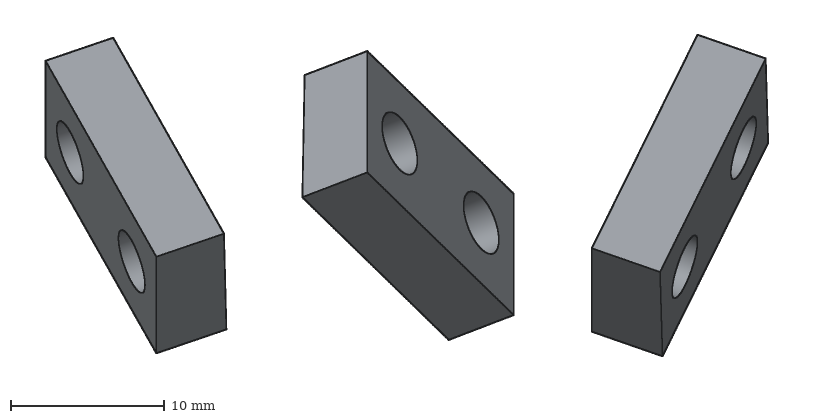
import cadquery as cq
import math

length = 18.0
height = 10.0
base_depth = 5.0
back_draft = 1.0
hole_diameter = 4.32
hole_spacing = 10.0
left_hole_inset = 4.0

top_depth = base_depth - height * math.tan(math.radians(back_draft))


def tapered_block():
    """Side profile with a vertical front and a leaning back, extruded along X."""
    side_profile = [
        (0, 0),
        (base_depth, 0),
        (top_depth, height),
        (0, height),
    ]
    return cq.Workplane("YZ").polyline(side_profile).close().extrude(length)


def through_hole(center_x):
    """Round cutter along Y at mid height, running through the full depth."""
    return (
        cq.Workplane("XZ")
        .center(center_x, height / 2)
        .circle(hole_diameter / 2)
        .extrude(-base_depth)
    )


result = tapered_block()
for hole_x in (left_hole_inset, left_hole_inset + hole_spacing):
    result = result.cut(through_hole(hole_x))